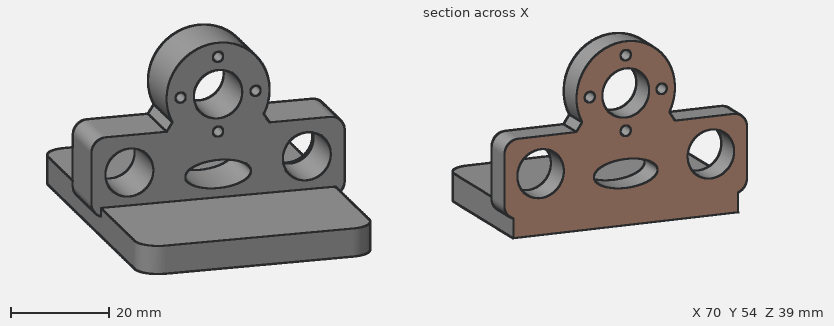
import cadquery as cq

PLATE_LENGTH = 70.0
PLATE_WIDTH = 50.0
PLATE_THICKNESS = 6.0
PLATE_CORNER_RADIUS = 5.0

BRACKET_THICKNESS = 13.0
BAR_WIDTH = 54.0
BAR_BOTTOM = 4.0
BAR_TOP = 21.0
BAR_CORNER_RADIUS = 3.1

TOTAL_HEIGHT = 39.0
HEAD_RADIUS = 11.0
HEAD_CENTER = TOTAL_HEIGHT - HEAD_RADIUS
NECK_TOP = 22.9
NECK_TOP_HALF_WIDTH = (HEAD_RADIUS**2 - (HEAD_CENTER - NECK_TOP) ** 2) ** 0.5
NECK_FOOT_HALF_WIDTH = HEAD_RADIUS

BORE_DIAMETER = 10.3
BOLT_HOLE_DIAMETER = 2.2
BOLT_CIRCLE_RADIUS = 8.0
BOLT_COUNT = 4
SIDE_HOLE_DIAMETER = 10.2
SIDE_HOLE_OFFSET = 18.9
SIDE_HOLE_HEIGHT = 13.0
RECESS_DIAMETER = 10.3
RECESS_DEPTH = 1.0
OVAL_WIDTH = 14.0
OVAL_HEIGHT = 6.0
OVAL_CENTER = 11.0


def bracket_plane(height):
    """YZ workplane on the bracket's -X face, centred at the given height."""
    return cq.Workplane("YZ", origin=(-BRACKET_THICKNESS / 2, 0, height))


def make_plate():
    plate = cq.Workplane("XY").box(
        PLATE_LENGTH, PLATE_WIDTH, PLATE_THICKNESS, centered=(True, True, False)
    )
    return plate.edges("|Z").fillet(PLATE_CORNER_RADIUS)


def make_bracket():
    bar = (
        bracket_plane((BAR_BOTTOM + BAR_TOP) / 2)
        .rect(BAR_WIDTH, BAR_TOP - BAR_BOTTOM)
        .extrude(BRACKET_THICKNESS)
        .edges("|X")
        .fillet(BAR_CORNER_RADIUS)
    )
    head = bracket_plane(HEAD_CENTER).circle(HEAD_RADIUS).extrude(BRACKET_THICKNESS)
    neck = (
        bracket_plane(0)
        .moveTo(-NECK_FOOT_HALF_WIDTH, BAR_TOP)
        .lineTo(NECK_FOOT_HALF_WIDTH, BAR_TOP)
        .lineTo(NECK_TOP_HALF_WIDTH, NECK_TOP)
        .lineTo(-NECK_TOP_HALF_WIDTH, NECK_TOP)
        .close()
        .extrude(BRACKET_THICKNESS)
    )
    return bar.union(head).union(neck)


def make_openings():
    bore = bracket_plane(HEAD_CENTER).circle(BORE_DIAMETER / 2).extrude(BRACKET_THICKNESS)
    bolt_holes = (
        bracket_plane(HEAD_CENTER)
        .polarArray(BOLT_CIRCLE_RADIUS, 0, 360, BOLT_COUNT)
        .circle(BOLT_HOLE_DIAMETER / 2)
        .extrude(BRACKET_THICKNESS)
    )
    side_holes = (
        bracket_plane(SIDE_HOLE_HEIGHT)
        .pushPoints([(-SIDE_HOLE_OFFSET, 0), (SIDE_HOLE_OFFSET, 0)])
        .circle(SIDE_HOLE_DIAMETER / 2)
        .extrude(BRACKET_THICKNESS)
    )
    recess = (
        bracket_plane(SIDE_HOLE_HEIGHT)
        .center(SIDE_HOLE_OFFSET, 0)
        .circle(RECESS_DIAMETER / 2)
        .extrude(RECESS_DEPTH)
    )
    oval = (
        bracket_plane(OVAL_CENTER)
        .ellipse(OVAL_WIDTH / 2, OVAL_HEIGHT / 2)
        .extrude(BRACKET_THICKNESS)
    )
    return bore.union(bolt_holes).union(side_holes).union(recess).union(oval)


result = make_plate().union(make_bracket()).cut(make_openings())